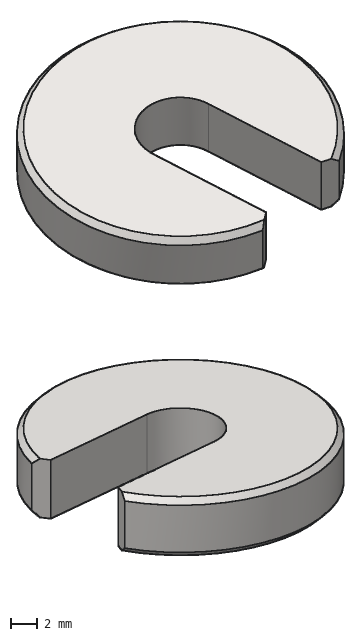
import cadquery as cq
import math

diameter = 25.0
thickness = 5.0
rim_chamfer = 0.5
slot_width = 7.0
mouth_start_x = 10.82
mouth_end_x = 11.52

radius = diameter / 2
slot_radius = slot_width / 2
mouth_half_width = math.sqrt(radius**2 - mouth_end_x**2)

bevel_slope = (mouth_half_width - slot_radius) / (mouth_end_x - mouth_start_x)
cut_end_x = radius + rim_chamfer
cut_half_width = slot_radius + bevel_slope * (cut_end_x - mouth_start_x)

disc = cq.Workplane("XY").circle(radius).extrude(thickness).faces("<Z or >Z").chamfer(rim_chamfer)

slot = (
    cq.Workplane("XY")
    .moveTo(0, slot_radius)
    .threePointArc((-slot_radius, 0), (0, -slot_radius))
    .lineTo(mouth_start_x, -slot_radius)
    .lineTo(cut_end_x, -cut_half_width)
    .lineTo(cut_end_x, cut_half_width)
    .lineTo(mouth_start_x, slot_radius)
    .close()
    .extrude(thickness)
)

result = disc.cut(slot)